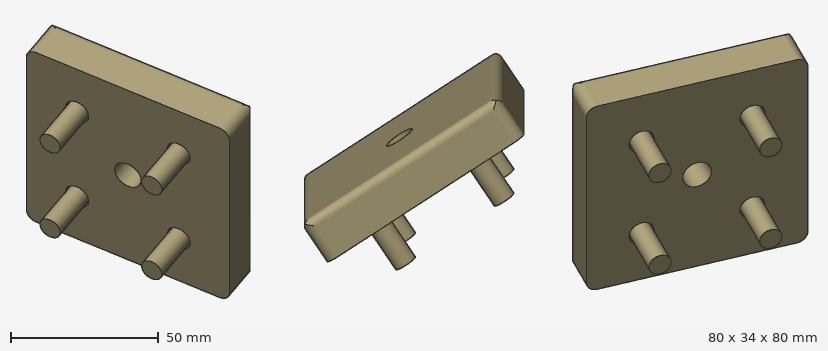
import cadquery as cq

plate_side = 80.0
plate_thickness = 16.0
corner_radius = 4.0
back_edge_radius = 3.0

center_hole_diameter = 10.4

pin_diameter = 8.0
pin_length = 18.0
pin_spacing = plate_side / 2
recess_diameter = 9.0
recess_depth = 8.0

flat_face_y = pin_length - (plate_thickness + pin_length) / 2


def face_plane(depth=0.0):
    """Plane parallel to the flat face, sunk into the plate and facing -Y."""
    return cq.Workplane("XZ", origin=(0, flat_face_y + depth, 0))


def bar_with_rounded_back():
    """Square plate running along Z, rounded where its two long sides meet the back face."""
    bar = cq.Workplane("XY").box(plate_side, plate_thickness, plate_side)
    bar = bar.edges("|Z and >Y").fillet(back_edge_radius)
    return bar.translate((0, flat_face_y + plate_thickness / 2, 0))


def make_plate():
    """Plate whose back roundings run straight out through the rounded corners and meet in miters."""
    outline = face_plane().rect(plate_side, plate_side).extrude(-plate_thickness)
    outline = outline.edges("|Y").fillet(corner_radius)
    upright_bar = bar_with_rounded_back()
    level_bar = upright_bar.rotate((0, 0, 0), (0, 1, 0), 90)
    return outline.intersect(upright_bar).intersect(level_bar)


def pin_cylinders(diameter, height):
    """Four cylinders at the pin positions, from the recess floor toward -Y."""
    return (
        face_plane(recess_depth)
        .rect(pin_spacing, pin_spacing, forConstruction=True)
        .vertices()
        .circle(diameter / 2)
        .extrude(height)
    )


center_hole = face_plane().circle(center_hole_diameter / 2).extrude(-plate_thickness)
recesses = pin_cylinders(recess_diameter, recess_depth)
pins = pin_cylinders(pin_diameter, recess_depth + pin_length)

result = make_plate().cut(center_hole).cut(recesses).union(pins)